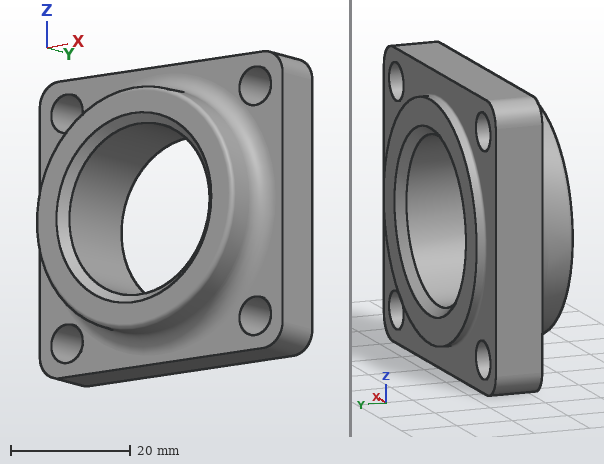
import cadquery as cq
import math

plate_size = 50.8
plate_thickness = 8.4
plate_corner_radius = 4.06

bolt_spacing = 39.37
bolt_hole_diameter = 6.6

boss_length = 7.65
boss_root_fillet = 3.175
boss_end_radius = 20.7
boss_draft_degrees = 2
boss_edge_fillet = 0.8

overall_depth = 17.78
spigot_radius = 21.08
spigot_root_fillet = 0.4

bore_radius = 14.65
bore_chamfer = 1.55
bore_mouth_radius = bore_radius + bore_chamfer

plate_front = boss_length
plate_back = plate_front + plate_thickness

boss_draft = math.radians(boss_draft_degrees)
root_fillet_start = plate_front - boss_root_fillet * (1 - math.sin(boss_draft))
boss_root_radius = boss_end_radius + (root_fillet_start - boss_edge_fillet) * math.tan(boss_draft)
root_fillet_outer_radius = boss_root_radius + boss_root_fillet * math.cos(boss_draft)


def make_plate():
    plate = cq.Workplane("XZ", origin=(0, plate_back, 0)).rect(plate_size, plate_size)
    plate = plate.extrude(plate_thickness)
    return plate.edges("|Y").fillet(plate_corner_radius)


def make_turned_body():
    """Boss and spigot as one solid of revolution about the Y axis."""
    half_profile = (
        cq.Workplane("XY")
        .moveTo(0, 0)
        .lineTo(boss_end_radius - boss_edge_fillet, 0)
        .radiusArc((boss_end_radius, boss_edge_fillet), -boss_edge_fillet)
        .lineTo(boss_root_radius, root_fillet_start)
        .radiusArc((root_fillet_outer_radius, plate_front), boss_root_fillet)
        .lineTo(spigot_radius + spigot_root_fillet, plate_back)
        .radiusArc((spigot_radius, plate_back + spigot_root_fillet), spigot_root_fillet)
        .lineTo(spigot_radius, overall_depth)
        .lineTo(0, overall_depth)
        .close()
    )
    return half_profile.revolve(360, (0, 0, 0), (0, 1, 0))


def make_bore():
    half_profile = (
        cq.Workplane("XY")
        .moveTo(0, 0)
        .lineTo(bore_mouth_radius, 0)
        .lineTo(bore_radius, bore_chamfer)
        .lineTo(bore_radius, overall_depth - bore_chamfer)
        .lineTo(bore_mouth_radius, overall_depth)
        .lineTo(0, overall_depth)
        .close()
    )
    return half_profile.revolve(360, (0, 0, 0), (0, 1, 0))


def make_bolt_holes():
    pattern = cq.Workplane("XZ", origin=(0, plate_back, 0))
    pattern = pattern.rect(bolt_spacing, bolt_spacing, forConstruction=True)
    return pattern.vertices().circle(bolt_hole_diameter / 2).extrude(plate_thickness)


result = make_plate().union(make_turned_body()).cut(make_bore()).cut(make_bolt_holes())